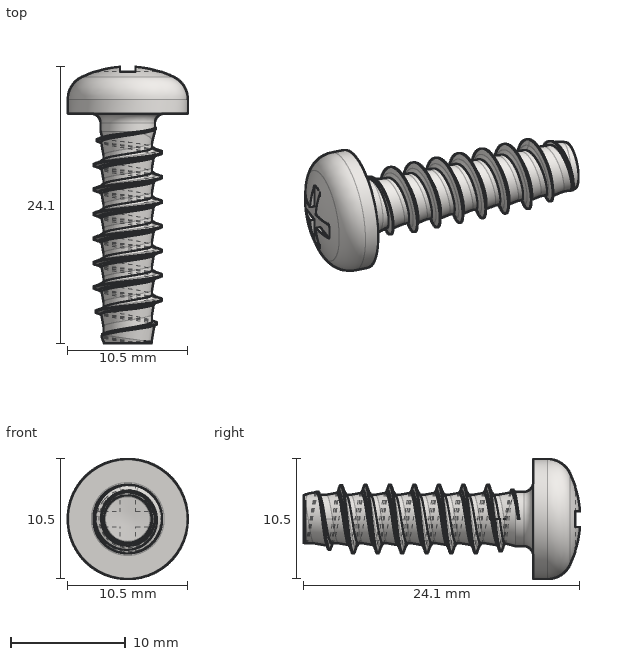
import cadquery as cq
import math

FULL_TURN = 360


head_radius = 5.25
head_height = 4.15
rim_height = 1.24
rim_edge_radius = 0.1
shoulder_radius = 2.2

recess_width = 1.35
recess_floor_height = 3.68

neck_radius = 2.38
neck_fillet = 0.8
neck_end = 1.53
neck_taper_end = 2.5

shank_length = 20.0
tip_radius = 2.07
tip_hollow_radius = 1.94
tip_hollow_depth = 0.13
core_radius = 2.13

pitch = 2.135
crest_radius = 3.0
crest_width = 0.08
kink_radius = 2.5
kink_offset = 0.2
root_start_offset = 0.44
root_peak_radius = 2.29
root_peak_offset = 0.36
root_end_offset = 1.26
thread_embed = 0.3
foot_sink = 0.03
first_crest = 1.26

fade_in_sink = 0.55
fade_in_turns = 1.0
fade_out_turn = 7.2

trim_clearance = 0.2
tip_overrun = 1.0
tip_taper_start = 17.0


def crown_radius():
    """Radius of the crown arc centred on the axis and tangent to the shoulder arc."""
    shoulder_x = head_radius - shoulder_radius
    rise = head_height - rim_height
    offset = rise - shoulder_radius
    return shoulder_radius + (shoulder_x**2 + offset**2) / (2 * offset)


def make_head():
    """Pan head of revolution: cylindrical rim, shoulder arc and crown arc."""
    crown = crown_radius()
    shoulder_x = head_radius - shoulder_radius
    tangent_angle = math.asin(shoulder_x / (crown - shoulder_radius))

    def crown_point(angle):
        return crown * math.sin(angle), crown * (math.cos(angle) - 1) + head_height

    def shoulder_point(angle):
        return (
            shoulder_x + shoulder_radius * math.sin(angle),
            rim_height + shoulder_radius * math.cos(angle),
        )

    def mirrored(point):
        return point[0], -point[1]

    shoulder_middle = (tangent_angle + math.pi / 2) / 2
    head = (
        cq.Workplane("XZ")
        .moveTo(0, 0)
        .lineTo(head_radius, 0)
        .lineTo(head_radius, -rim_height)
        .threePointArc(mirrored(shoulder_point(shoulder_middle)), mirrored(shoulder_point(tangent_angle)))
        .threePointArc(mirrored(crown_point(tangent_angle / 2)), (0, -head_height))
        .close()
        .revolve(FULL_TURN, (0, 0), (0, 1))
    )
    return head.faces(">Z").edges().fillet(rim_edge_radius)


def make_recess():
    """Two crossed slots cut into the crown down to a flat floor."""
    depth = head_height - recess_floor_height
    floor = cq.Workplane("XY").workplane(offset=-recess_floor_height)
    slot = floor.rect(2 * head_radius, recess_width).extrude(-depth)
    return slot.union(slot.rotate((0, 0, 0), (0, 0, 1), FULL_TURN / 4))


def make_neck():
    """Neck with a fillet up to the head and a taper down to the core, rooted in the head."""
    flare_radius = neck_radius + neck_fillet
    arc_middle = neck_fillet * (1 - math.sqrt(0.5))
    return (
        cq.Workplane("XZ")
        .moveTo(0, -rim_height)
        .lineTo(flare_radius, -rim_height)
        .lineTo(flare_radius, 0)
        .threePointArc((neck_radius + arc_middle, arc_middle), (neck_radius, neck_fillet))
        .lineTo(neck_radius, neck_end)
        .lineTo(core_radius, neck_taper_end)
        .lineTo(0, neck_taper_end)
        .close()
        .revolve(FULL_TURN, (0, 0), (0, 1))
    )


def sweep_thread(profile, start_turn, turns, cone_angle=FULL_TURN):
    """Sweep an axial profile right-handed along the shank.

    A positive cone angle makes the helix widen towards the tip, a negative one makes it
    narrow; a full turn stands for a plain cylindrical helix.
    """
    helix = cq.Workplane(cq.Wire.makeHelix(pitch, turns * pitch, crest_radius, angle=cone_angle))
    body = cq.Workplane("XZ").polyline(profile).close().sweep(helix, isFrenet=True)
    turned = body.rotate((0, 0, 0), (0, 0, 1), FULL_TURN * start_turn)
    return turned.translate((0, 0, first_crest + pitch * start_turn))


def make_root():
    """Helical root surface that slopes from behind the crest down to the core."""
    slope = (root_end_offset - root_peak_offset) / (root_peak_radius - core_radius)
    base_radius = core_radius - thread_embed
    foot_end = root_end_offset + foot_sink * slope
    profile = [
        (base_radius, 0),
        (root_peak_radius + root_peak_offset / slope, 0),
        (core_radius - foot_sink, foot_end),
        (base_radius, foot_end),
    ]
    turns = (shank_length - first_crest) / pitch
    return sweep_thread(profile, 0, turns)


def make_fins():
    """Sharp thread ridge in three lengths: full height, rising at the neck, sinking at the tip."""
    flank_slope = (root_start_offset - kink_offset) / (kink_radius - core_radius)
    rear_slope = (root_peak_offset - kink_offset) / (kink_radius - root_peak_radius)
    base_radius = core_radius - thread_embed
    profile = [
        (base_radius, -root_start_offset - thread_embed * flank_slope),
        (kink_radius, -kink_offset),
        (crest_radius, -crest_width / 2),
        (crest_radius, crest_width / 2),
        (kink_radius, kink_offset),
        (base_radius, kink_offset + (kink_radius - base_radius) * rear_slope),
    ]
    sunk_profile = [(radius - fade_in_sink, offset) for radius, offset in profile]
    fade_in_angle = math.degrees(math.atan2(fade_in_sink, fade_in_turns * pitch))
    fade_out_turns = (shank_length - first_crest) / pitch - fade_out_turn
    fade_out_angle = math.degrees(math.atan2(crest_radius - tip_radius, fade_out_turns * pitch))
    full = sweep_thread(profile, fade_in_turns, fade_out_turn - fade_in_turns)
    fade_in = sweep_thread(sunk_profile, 0, fade_in_turns, fade_in_angle)
    fade_out = sweep_thread(profile, fade_out_turn, fade_out_turns, -fade_out_angle)
    return full, fade_in, fade_out


def make_threaded_shank():
    """Core with its thread, trimmed to the end plane and a slight taper at the tip."""
    core = cq.Workplane("XY").circle(core_radius).extrude(shank_length + tip_overrun)
    outer_radius = crest_radius + trim_clearance
    trim = (
        cq.Workplane("XZ")
        .lineTo(outer_radius, 0)
        .lineTo(outer_radius, tip_taper_start)
        .lineTo(tip_radius, shank_length)
        .lineTo(0, shank_length)
        .close()
        .revolve(FULL_TURN, (0, 0), (0, 1))
    )
    shank = core.union(make_root())
    for fin in make_fins():
        shank = shank.union(fin)
    return shank.intersect(trim)


def make_tip_hollow():
    """Shallow conical hollow in the end face."""
    return (
        cq.Workplane("XZ")
        .moveTo(0, shank_length)
        .lineTo(tip_hollow_radius, shank_length)
        .lineTo(0, shank_length - tip_hollow_depth)
        .close()
        .revolve(FULL_TURN, (0, 0), (0, 1))
    )


head = make_head().cut(make_recess())
shank = make_threaded_shank().cut(make_tip_hollow())
screw = shank.union(make_neck()).union(head)
result = screw.rotate((0, 0, 0), (1, 0, 0), FULL_TURN / 4)